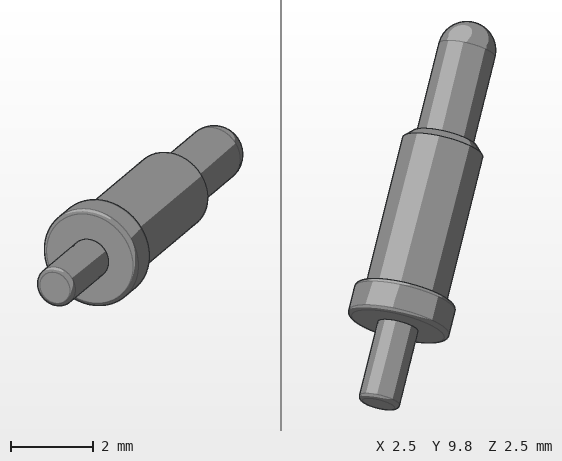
import cadquery as cq

total_length = 9.8
tail_length = 2.0
flange_length = 0.8
body_length = 4.0
plunger_length = total_length - tail_length - flange_length - body_length

tail_diameter = 1.0
flange_diameter = 2.5
body_diameter = 2.0
plunger_diameter = 1.4

edge_round = 0.1
body_chamfer = 0.2


def cylinder(start, length, diameter):
    """Cylinder along +Y whose first face lies at Y = start."""
    plane = cq.Plane(origin=(0, start, 0), xDir=(1, 0, 0), normal=(0, 1, 0))
    return cq.Workplane(plane).circle(diameter / 2).extrude(length)


flange_start = tail_length
body_start = flange_start + flange_length
plunger_start = body_start + body_length

tail = cylinder(0, tail_length, tail_diameter).faces("<Y").edges().fillet(edge_round)

flange = cylinder(flange_start, flange_length, flange_diameter).edges("%CIRCLE").fillet(edge_round)

body = cylinder(body_start, body_length, body_diameter).faces(">Y").edges().chamfer(body_chamfer)

tip_radius = plunger_diameter / 2
plunger_straight = plunger_length - tip_radius
plunger = cylinder(plunger_start, plunger_straight, plunger_diameter)
tip = cq.Workplane("XY").sphere(tip_radius).translate((0, plunger_start + plunger_straight, 0))

result = tail.union(flange).union(body).union(plunger).union(tip)